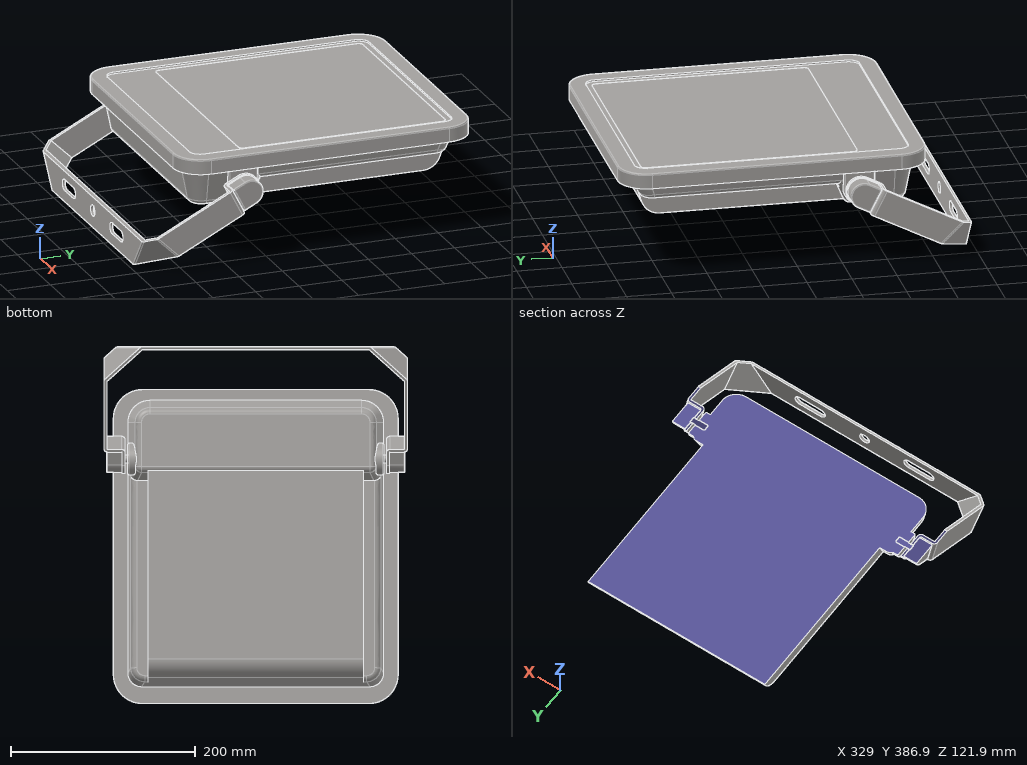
import cadquery as cq
import math


RIM_WIDTH = 309.0
RIM_LENGTH = 340.5
RIM_HEIGHT = 17.0
RIM_CORNER_R = 32.0
RIM_EDGE_R = 1.4
RIM_BORDER = 18.5

GLASS_CORNER_R = 12.0
GLASS_DEPTH = 2.0
GLASS_THICKNESS = 4.0
PANE_MARGIN = 7.0
PANE_LENGTH = 240.0
PANE_CORNER_R = 5.0
PANE_DEPTH = 0.2

SHELL_SIDE_INSET = 16.0
SHELL_FRONT_INSET = 11.7
SHELL_REAR_INSET = 18.3
SHELL_HALF_WIDTH = RIM_WIDTH / 2 - SHELL_SIDE_INSET
SHELL_FRONT_Y = -RIM_LENGTH / 2 + SHELL_FRONT_INSET
SHELL_REAR_Y = RIM_LENGTH / 2 - SHELL_REAR_INSET
SHELL_FRONT_R = 24.0
SHELL_REAR_R = 15.0
SIDE_DRAFT = math.tan(math.radians(11.3))
REAR_DRAFT = math.tan(math.radians(19.0))
SHELL_FILLET = 7.0
LEDGE_Z = -37.4
FRONT_BOTTOM_Z = -62.0
CORE_BOTTOM_Z = -60.7
CORE_HALF_WIDTH = 117.0
CORE_REAR_R = 21.0
FRONT_BLOCK_Y = -71.6
FRONT_BLOCK_SLOPE = math.tan(math.radians(23.0))

OVERALL_WIDTH = 329.0
OVERALL_LENGTH = 386.89
BRACKET_HALF_WIDTH = OVERALL_WIDTH / 2
BRACKET_FACE_Y = RIM_LENGTH / 2 - OVERALL_LENGTH
BRACKET_BOTTOM_Z = -121.89
SHEET = 3.5
STRAP_WIDTH = 31.5
STRAP_TILT = 27.0
TAB_INNER_X = 141.5
TAB_OUTER_X = TAB_INNER_X + SHEET
STEP_NEAR = 16.3
STEP_FAR = STEP_NEAR + SHEET
BEND_R = 0.5
FOLD_R = 2.5
ARM_LENGTH = 60.0
STRAP_REACH = 200.0
PANEL_NORMAL = (1.32, 0.96, 1.0)
PANEL_APEX_Z = -68.5
HOLE_D = 12.5
SLOT_LENGTH = 39.5
SLOT_X = 71.8
HOLE_Z = -102.5

HINGE_Y = -94.8
HINGE_Z = (
    BRACKET_BOTTOM_Z
    + (HINGE_Y - BRACKET_FACE_Y) * math.tan(math.radians(STRAP_TILT))
    + STRAP_WIDTH / 2 / math.cos(math.radians(STRAP_TILT))
)
PAD_R = 17.2
PAD_FACE_X = 138.7
PAD_EDGE_R = 1.4
PAD_ROOT = 5.0
PAD_INNER_X = CORE_HALF_WIDTH
SCREW_D = 8.5
SCREW_HOLE_D = 8.7
SCREW_DEPTH = 12.0

CAP_R = 14.5
CAP_STEP_GAP = 1.0
CAP_FLAT = STEP_NEAR - CAP_STEP_GAP
CAP_OUTER_X = 161.7
CAP_EDGE_R = 1.2


def rounded_plate(width, length, radius, top_z, thickness):
    """Plate with rounded vertical corners, hanging down from top_z."""
    plate = cq.Workplane("XY", origin=(0, 0, top_z - thickness)).rect(width, length)
    return plate.extrude(thickness).edges("|Z").fillet(radius)


def shell_outline(z):
    """Rounded outline of the drafted shell at height z; corners at the rear keep their radius."""
    drop = -RIM_HEIGHT - z
    half = SHELL_HALF_WIDTH - drop * SIDE_DRAFT
    front = SHELL_FRONT_Y + drop * SIDE_DRAFT
    rear = SHELL_REAR_Y - drop * REAR_DRAFT
    rf = SHELL_FRONT_R - drop * SIDE_DRAFT
    rr = SHELL_REAR_R
    cut = 1 - math.sqrt(0.5)
    outline = (
        cq.Workplane("XY", origin=(0, 0, z))
        .moveTo(-half + rf, front)
        .lineTo(half - rf, front)
        .threePointArc((half - rf * cut, front + rf * cut), (half, front + rf))
        .lineTo(half, rear - rr)
        .threePointArc((half - rr * cut, rear - rr * cut), (half - rr, rear))
        .lineTo(-half + rr, rear)
        .threePointArc((-half + rr * cut, rear - rr * cut), (-half, rear - rr))
        .lineTo(-half, front + rf)
        .threePointArc((-half + rf * cut, front + rf * cut), (-half + rf, front))
        .close()
    )
    return outline.val()


def drafted_shell(bottom_z):
    """Shell tapering from the underside of the rim down to bottom_z."""
    wires = [shell_outline(-RIM_HEIGHT), shell_outline(bottom_z)]
    return cq.Workplane(cq.Solid.makeLoft(wires, True))


def make_tray():
    """Shallow part of the shell from the hinge rearward, rounded along its lower edge."""
    tray = drafted_shell(LEDGE_Z).faces("<Z").edges().fillet(SHELL_FILLET)
    rear_space = cq.Workplane("XY").box(RIM_WIDTH, RIM_LENGTH, -2 * LEDGE_Z, centered=(True, False, True))
    return tray.intersect(rear_space.translate((0, HINGE_Y, 0)))


def make_front_block():
    """Deep part of the shell under the hinge, ending rearward in a sloped wall."""
    block = drafted_shell(FRONT_BOTTOM_Z)
    wall_top_y = FRONT_BLOCK_Y + (-RIM_HEIGHT - LEDGE_Z) * FRONT_BLOCK_SLOPE
    wall_bottom_y = FRONT_BLOCK_Y - (LEDGE_Z - FRONT_BOTTOM_Z) * FRONT_BLOCK_SLOPE
    keep = (
        cq.Workplane("YZ")
        .polyline([
            (-RIM_LENGTH, -RIM_HEIGHT),
            (wall_top_y, -RIM_HEIGHT),
            (wall_bottom_y, FRONT_BOTTOM_Z),
            (-RIM_LENGTH, FRONT_BOTTOM_Z),
        ])
        .close()
        .extrude(RIM_WIDTH, both=True)
    )
    return block.intersect(keep).faces("<Z or >Y").edges("not >Z").fillet(SHELL_FILLET)


def make_core():
    """Narrower block below the ledge, rounded at the rear."""
    rear_bottom_y = SHELL_REAR_Y - (-RIM_HEIGHT - CORE_BOTTOM_Z) * REAR_DRAFT
    core = (
        cq.Workplane("YZ")
        .polyline([
            (HINGE_Y, -RIM_HEIGHT),
            (SHELL_REAR_Y, -RIM_HEIGHT),
            (rear_bottom_y, CORE_BOTTOM_Z),
            (HINGE_Y, CORE_BOTTOM_Z),
        ])
        .close()
        .extrude(CORE_HALF_WIDTH, both=True)
    )
    return core.faces("<Z").edges(">Y").fillet(CORE_REAR_R)


def cylinder_x(x_start, x_end, diameter):
    """Cylinder on the hinge axis between two X positions."""
    base = cq.Workplane("YZ", origin=(x_start, HINGE_Y, HINGE_Z)).circle(diameter / 2)
    return base.extrude(x_end - x_start)


def make_hinge_pad():
    """Flat pad on the +X side, round below the hinge axis and rooted in the rim."""
    length = PAD_FACE_X - PAD_INNER_X
    height = -RIM_HEIGHT - HINGE_Z + PAD_ROOT
    upper = cq.Workplane("XY").box(length, 2 * PAD_R, height, centered=(False, True, False))
    upper = upper.translate((PAD_INNER_X, HINGE_Y, HINGE_Z))
    pad = upper.union(cylinder_x(PAD_INNER_X, PAD_FACE_X, 2 * PAD_R))
    return pad.faces(">X").edges().fillet(PAD_EDGE_R)


def both_sides(part):
    """The +X part and its mirror image on the -X side."""
    return [part, part.mirror("YZ")]


def make_housing():
    """Solid housing with a glass recess and two blind screw holes."""
    rim = rounded_plate(RIM_WIDTH, RIM_LENGTH, RIM_CORNER_R, 0, RIM_HEIGHT)
    rim = rim.faces(">Z").edges().fillet(RIM_EDGE_R)
    housing = rim.union(make_tray()).union(make_core()).union(make_front_block())
    for pad in both_sides(make_hinge_pad()):
        housing = housing.union(pad)
    for hole in both_sides(cylinder_x(PAD_FACE_X - SCREW_DEPTH, PAD_FACE_X, SCREW_D)):
        housing = housing.cut(hole)
    return housing.cut(glass_blank(0, GLASS_DEPTH + GLASS_THICKNESS))


def glass_blank(top_z, thickness):
    """Plate with the outline of the rim opening."""
    return rounded_plate(
        RIM_WIDTH - 2 * RIM_BORDER,
        RIM_LENGTH - 2 * RIM_BORDER,
        GLASS_CORNER_R,
        top_z,
        thickness,
    )


def make_glass():
    """Glass with a very shallow window pane toward the rear."""
    pane = rounded_plate(
        RIM_WIDTH - 2 * (RIM_BORDER + PANE_MARGIN), PANE_LENGTH, PANE_CORNER_R, -GLASS_DEPTH, PANE_DEPTH
    )
    pane_y = RIM_LENGTH / 2 - RIM_BORDER - PANE_MARGIN - PANE_LENGTH / 2
    return glass_blank(-GLASS_DEPTH, GLASS_THICKNESS).cut(pane.translate((0, pane_y, 0)))


def tilt_to_strap(part):
    """Move a part from a level strap frame, hinge axis at the origin, to its tilted place."""
    return part.rotate((0, 0, 0), (1, 0, 0), STRAP_TILT).translate((0, HINGE_Y, HINGE_Z))


def bracket_envelope(inset):
    """Space inside the bracket's leg, flange and corner planes, moved inward by inset."""
    half = BRACKET_HALF_WIDTH - inset
    front = BRACKET_FACE_Y + inset
    depth = 2 * BRACKET_BOTTOM_Z
    body = cq.Workplane("XY").box(2 * half, -front, -depth, centered=(True, False, False))
    body = body.translate((0, front, depth))
    nx, ny, nz = PANEL_NORMAL
    shift = inset / math.sqrt(nx * nx + ny * ny + nz * nz)
    origin = (
        -BRACKET_HALF_WIDTH + shift * nx,
        BRACKET_FACE_Y + shift * ny,
        PANEL_APEX_Z + shift * nz,
    )
    plane = cq.Plane(origin=origin, xDir=(ny, -nx, 0), normal=(-nx, -ny, -nz))
    corner = cq.Workplane(plane).rect(STRAP_REACH, STRAP_REACH).extrude(STRAP_REACH)
    for side in both_sides(corner):
        body = body.cut(side)
    return body


def make_arm():
    """Hinge end of the +X leg: leg, inward step and round tab with the screw hole."""
    leg_inner_x = BRACKET_HALF_WIDTH - SHEET
    inner_bends = [(TAB_OUTER_X, -STEP_NEAR), (leg_inner_x, -STEP_FAR)]
    outer_bends = [(TAB_INNER_X, -STEP_FAR), (BRACKET_HALF_WIDTH, -STEP_NEAR)]
    arm = (
        cq.Workplane("XY", origin=(0, 0, -STRAP_WIDTH / 2))
        .polyline([
            (TAB_INNER_X, 0),
            (TAB_OUTER_X, 0),
            inner_bends[0],
            outer_bends[1],
            (BRACKET_HALF_WIDTH, -ARM_LENGTH),
            (leg_inner_x, -ARM_LENGTH),
            inner_bends[1],
            outer_bends[0],
        ])
        .close()
        .extrude(STRAP_WIDTH)
    )
    for bends, radius in ((inner_bends, BEND_R), (outer_bends, BEND_R + SHEET)):
        for x, y in bends:
            arm = arm.edges(cq.NearestToPointSelector((x, y, 0))).fillet(radius)
    tab_face = cq.Workplane("YZ", origin=(TAB_INNER_X, 0, 0))
    arm = arm.union(tab_face.circle(STRAP_WIDTH / 2).extrude(SHEET))
    return arm.cut(tab_face.circle(SCREW_HOLE_D / 2).extrude(SHEET))


def round_folds(bracket):
    """Round the outer edges of the diagonal folds around both corner panels."""
    nx, ny, nz = PANEL_NORMAL
    folds = [
        ("<X", (0, nz, -ny)),
        (">X", (0, nz, -ny)),
        ("<Y", (nz, 0, -nx)),
        ("<Y", (-nz, 0, -nx)),
    ]
    for face, direction in folds:
        fold_edge = cq.selectors.ParallelDirSelector(cq.Vector(*direction))
        bracket = bracket.faces(face).edges(fold_edge).fillet(FOLD_R)
    return bracket


def make_bracket():
    """Folded sheet bracket with two legs, corner panels and a drilled flange."""
    strap = cq.Workplane("XY").box(2 * RIM_WIDTH, STRAP_REACH, STRAP_WIDTH)
    strap = strap.translate((0, -ARM_LENGTH / 2 - STRAP_REACH / 2, 0))
    sheet = bracket_envelope(0).cut(bracket_envelope(SHEET))
    bracket = round_folds(sheet.intersect(tilt_to_strap(strap)))
    for arm in both_sides(tilt_to_strap(make_arm())):
        bracket = bracket.union(arm)
    flange = cq.Workplane("XZ", origin=(0, BRACKET_FACE_Y + SHEET, HOLE_Z))
    slots = flange.pushPoints([(-SLOT_X, 0), (SLOT_X, 0)]).slot2D(SLOT_LENGTH, HOLE_D)
    bracket = bracket.cut(slots.extrude(SHEET))
    return bracket.cut(flange.circle(HOLE_D / 2).extrude(SHEET))


def make_cap():
    """D-shaped cap over the +X tab, its flat side along the bracket step."""
    cap = (
        cq.Workplane("YZ", origin=(TAB_OUTER_X, 0, 0))
        .moveTo(-CAP_FLAT, -CAP_R)
        .lineTo(0, -CAP_R)
        .threePointArc((CAP_R, 0), (0, CAP_R))
        .lineTo(-CAP_FLAT, CAP_R)
        .close()
        .extrude(CAP_OUTER_X - TAB_OUTER_X)
    )
    return tilt_to_strap(cap.faces(">X").edges().fillet(CAP_EDGE_R))


housing = make_housing()
glass = make_glass()
bracket = make_bracket()
caps = both_sides(make_cap())
screws = both_sides(cylinder_x(PAD_FACE_X - SCREW_DEPTH, TAB_OUTER_X, SCREW_D))

bodies = [housing, glass, bracket, *caps, *screws]
result = cq.Compound.makeCompound([body.val() for body in bodies])